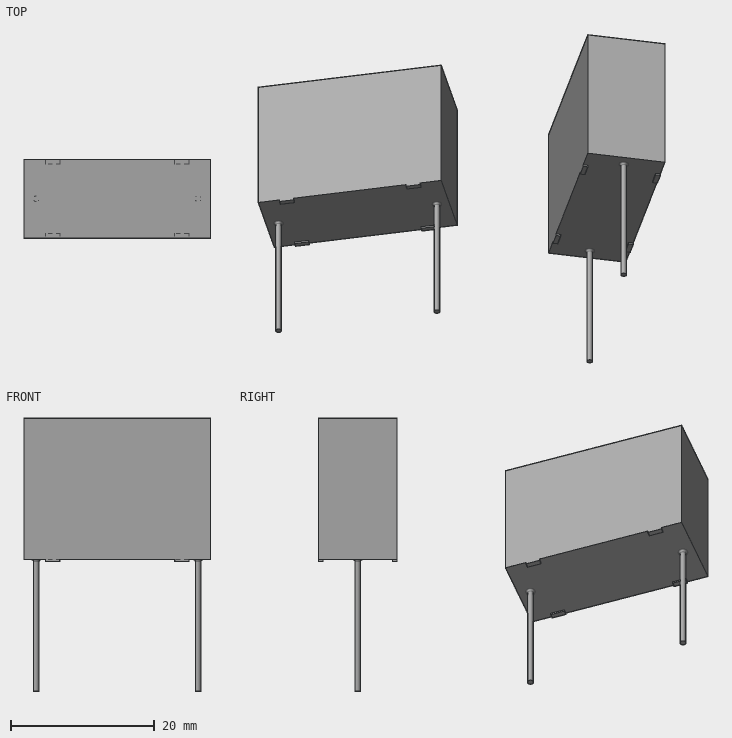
import cadquery as cq


body_length = 26.0
body_width = 11.0
body_height = 19.7

overall_height = 38.0
lead_diameter = 0.8
lead_pitch = 22.5
lead_length = overall_height - body_height

foot_length = 2.0
foot_width = 0.7
foot_height = 0.25
foot_end_gap = 3.0

lead_fillet_radius = foot_height


def make_body():
    return cq.Workplane("XY").box(
        body_length, body_width, body_height, centered=(True, True, False)
    )


def make_leads():
    return (
        cq.Workplane("XY")
        .rarray(lead_pitch, 0.38, 2, 1)
        .circle(lead_diameter / 2)
        .extrude(-lead_length)
    )


def make_feet():
    foot_spacing_x = body_length - 2 * foot_end_gap - foot_length
    foot_spacing_y = body_width - foot_width
    return (
        cq.Workplane("XY")
        .rarray(foot_spacing_x, foot_spacing_y, 2, 2)
        .rect(foot_length, foot_width)
        .extrude(-foot_height)
    )


body_with_leads = make_body().union(make_leads())
body_with_leads = body_with_leads.edges("%CIRCLE").edges(">Z").fillet(lead_fillet_radius)

result = body_with_leads.union(make_feet())